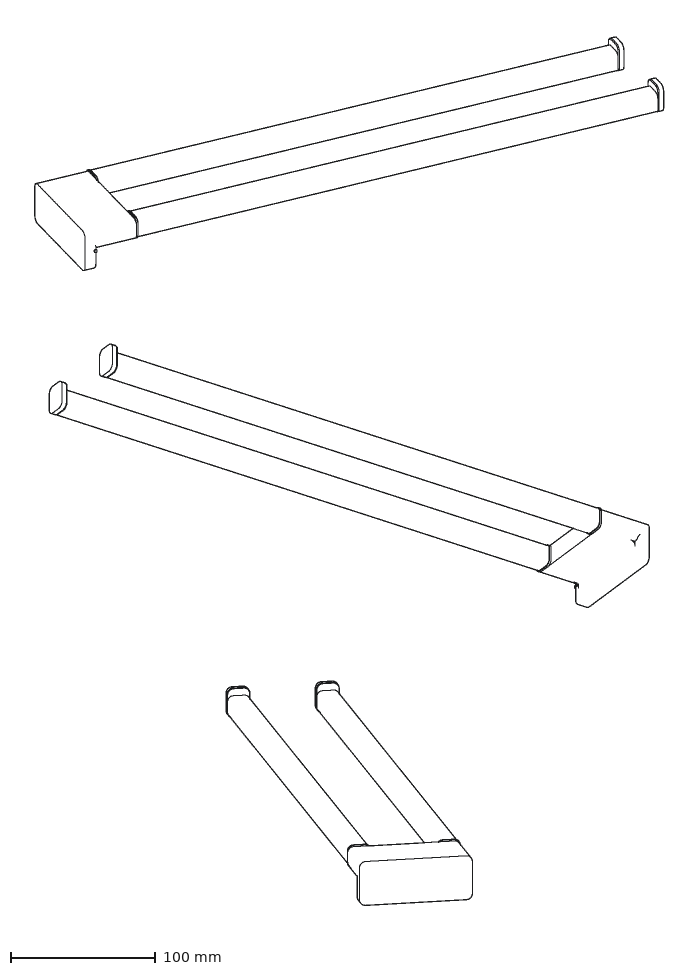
import cadquery as cq


BRACKET_WIDTH = 80.0
BRACKET_HEIGHT = 31.5
ARM_LENGTH = 39.5
ARM_THICKNESS = 15.5
LEG_THICKNESS = 9.0
BRACKET_CORNER = 4.5
LEG_EDGE_ROUND = 1.5
INNER_CORNER = 3.5

TOTAL_LENGTH = 445.0
RAIL_SIDE = 15.5
RAIL_CORNER = 3.8
RAIL_PITCH = 63.0
RAIL_LIFT = 0.5
RAIL_CENTRES_X = [(BRACKET_WIDTH + side * RAIL_PITCH) / 2 for side in (-1, 1)]

COLLAR_RIM = 0.55
COLLAR_THICKNESS = 1.5

STOP_THICKNESS = 4.5
STOP_TOP = 37.5
STOP_CORNER = 4.5
STOP_RIM = 0.35
STOP_CHAMFER = 1.0

SCREW_DIAMETER = 2.2
SCREW_LENGTH = 5.5
SCREW_PROTRUSION = 0.5
SCREW_Y = 8.0
SCREW_Z = 15.5


def rounded_bar(centre_x, bottom, top, width, corner, start, length):
    """Bar along Y with its four long edges rounded."""
    return (
        cq.Workplane("XY")
        .box(width, length, top - bottom, centered=(True, False, False))
        .edges("|Y")
        .fillet(corner)
        .translate((centre_x, start, bottom))
    )


def make_bracket():
    """L-shaped bracket: wall leg with a wide arm at its top."""
    middle = BRACKET_WIDTH / 2
    arm_bottom = BRACKET_HEIGHT - ARM_THICKNESS
    leg = rounded_bar(middle, 0, BRACKET_HEIGHT, BRACKET_WIDTH, BRACKET_CORNER, 0, LEG_THICKNESS)
    leg = leg.faces(">Y").edges().fillet(LEG_EDGE_ROUND)
    arm = rounded_bar(middle, arm_bottom, BRACKET_HEIGHT, BRACKET_WIDTH, BRACKET_CORNER, 0, ARM_LENGTH)
    corner = (
        cq.Workplane("YZ", origin=(BRACKET_CORNER, 0, 0))
        .moveTo(LEG_THICKNESS, arm_bottom - INNER_CORNER)
        .radiusArc((LEG_THICKNESS + INNER_CORNER, arm_bottom), INNER_CORNER)
        .lineTo(LEG_THICKNESS / 2, arm_bottom)
        .lineTo(LEG_THICKNESS / 2, arm_bottom - INNER_CORNER)
        .close()
        .extrude(BRACKET_WIDTH - 2 * BRACKET_CORNER)
    )
    return leg.union(arm).union(corner)


def make_rail(centre_x):
    """One rail with the collar at its root and the stop at its free end."""
    bottom = BRACKET_HEIGHT - ARM_THICKNESS + RAIL_LIFT
    top = bottom + RAIL_SIDE
    rail = rounded_bar(
        centre_x, bottom, top, RAIL_SIDE, RAIL_CORNER, ARM_LENGTH, TOTAL_LENGTH - ARM_LENGTH
    )
    collar = rounded_bar(
        centre_x,
        bottom - COLLAR_RIM,
        top + COLLAR_RIM,
        RAIL_SIDE + 2 * COLLAR_RIM,
        RAIL_CORNER + COLLAR_RIM,
        ARM_LENGTH,
        COLLAR_THICKNESS,
    )
    stop = rounded_bar(
        centre_x,
        bottom - STOP_RIM,
        STOP_TOP,
        RAIL_SIDE + 2 * STOP_RIM,
        STOP_CORNER,
        TOTAL_LENGTH - STOP_THICKNESS,
        STOP_THICKNESS,
    )
    stop = stop.faces("<Y").edges().chamfer(STOP_RIM, STOP_CHAMFER)
    return rail.union(collar).union(stop)


def make_set_screw():
    """Plain cylinder along X that stands slightly proud of the bracket side."""
    outer_end = BRACKET_WIDTH + SCREW_PROTRUSION
    return (
        cq.Workplane("YZ", origin=(outer_end - SCREW_LENGTH, SCREW_Y, SCREW_Z))
        .circle(SCREW_DIAMETER / 2)
        .extrude(SCREW_LENGTH)
    )


set_screw = make_set_screw()

towel_rail = make_bracket()
for rail_x in RAIL_CENTRES_X:
    towel_rail = towel_rail.union(make_rail(rail_x))
towel_rail = towel_rail.cut(set_screw)

result = cq.Compound.makeCompound([towel_rail.solids().val(), set_screw.val()])